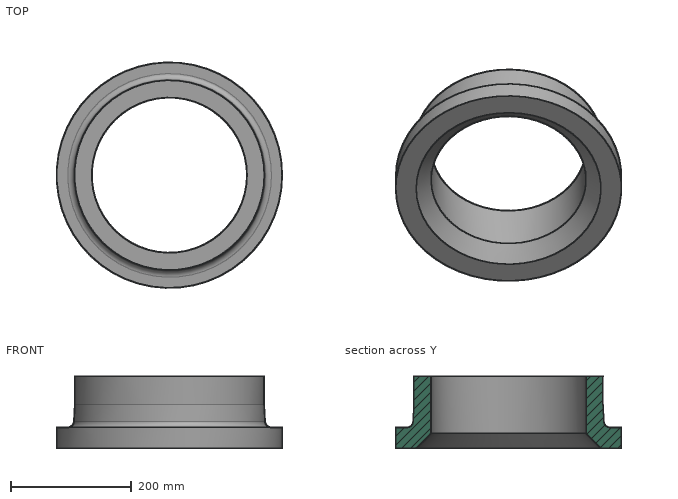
import cadquery as cq
import math

flange_radius = 187.5
total_height = 120.0
flange_height = 35.0

spigot_radius = 157.5
spigot_length = 47.2
root_radius = 159.0
fillet_radius = 10.0

bore_radius = 128.5
bore_chamfer = 24.8

spigot_base = total_height - spigot_length
fillet_top = flange_height + fillet_radius
fillet_outer = root_radius + fillet_radius
arc_offset = fillet_radius * math.cos(math.radians(45))
fillet_middle = (fillet_outer - arc_offset, fillet_top - arc_offset)

profile = (
    cq.Workplane("XZ")
    .moveTo(bore_radius + bore_chamfer, 0)
    .lineTo(flange_radius, 0)
    .lineTo(flange_radius, flange_height)
    .lineTo(fillet_outer, flange_height)
    .threePointArc(fillet_middle, (root_radius, fillet_top))
    .lineTo(spigot_radius, spigot_base)
    .lineTo(spigot_radius, total_height)
    .lineTo(bore_radius, total_height)
    .lineTo(bore_radius, bore_chamfer)
    .close()
)
result = profile.revolve(360, (0, 0, 0), (0, 1, 0))